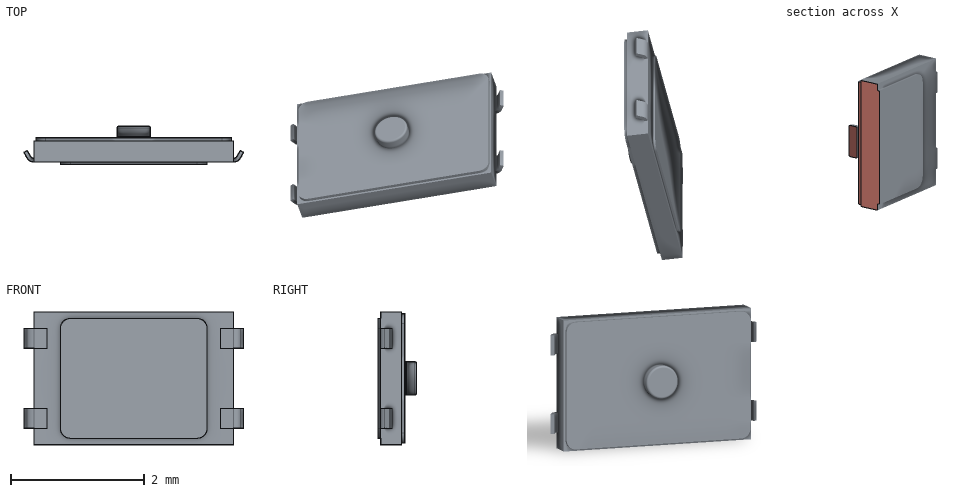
import cadquery as cq
import math


housing_width = 3.0
housing_height = 2.0
housing_depth = 0.317
pad_width = 2.2
pad_height = 1.8
pad_thickness = 0.04
corner_radius = 0.15

cover_inset = 0.03
cover_thickness = 0.05

total_depth = 0.58
button_diameter = 0.5
button_gap = 0.015
button_rim_radius = 0.03

total_width = 3.3
terminal_width = 0.3
terminal_pitch = 1.2
terminal_thickness = 0.06
terminal_inset = 0.2
bend_inner_radius = 0.055
bend_angle = math.radians(60)

solder_face = 0.0
cover_base = solder_face + housing_depth
cover_top = cover_base + cover_thickness
button_base = cover_top + button_gap
button_top = solder_face - pad_thickness + total_depth

SIDES = (-1, 1)


def slab(width, height, y_start, y_end):
    """Rectangular slab centred on the Y axis, between two Y positions."""
    centre = (0, (y_start + y_end) / 2, 0)
    return cq.Workplane("XY").box(width, y_end - y_start, height).translate(centre)


def rounded_slab(width, height, y_start, y_end):
    """Slab whose four corners are rounded about the Y axis."""
    return slab(width, height, y_start, y_end).edges("|Y").fillet(corner_radius)


def make_terminal(side, z_centre):
    """Strip running flat in the housing, then bent up beside it; side is -1 or 1 along X."""
    housing_side = housing_width / 2
    flat_end = housing_side - terminal_inset
    bend_outer_radius = bend_inner_radius + terminal_thickness
    bend_centre_y = solder_face + bend_outer_radius

    def bend_point(radius, angle):
        x = housing_side + radius * math.sin(angle)
        y = bend_centre_y - radius * math.cos(angle)
        return (x, y)

    outer_bend_end = bend_point(bend_outer_radius, bend_angle)
    inner_bend_end = bend_point(bend_inner_radius, bend_angle)

    leg_run = total_width / 2 - outer_bend_end[0]
    leg_rise = leg_run * math.tan(bend_angle)

    strip = (
        cq.Workplane("XY")
        .moveTo(flat_end, solder_face)
        .lineTo(housing_side, solder_face)
        .threePointArc(bend_point(bend_outer_radius, bend_angle / 2), outer_bend_end)
        .line(leg_run, leg_rise)
        .lineTo(inner_bend_end[0] + leg_run, inner_bend_end[1] + leg_rise)
        .lineTo(*inner_bend_end)
        .threePointArc(
            bend_point(bend_inner_radius, bend_angle / 2),
            bend_point(bend_inner_radius, 0),
        )
        .lineTo(flat_end, solder_face + terminal_thickness)
        .close()
        .extrude(terminal_width / 2, both=True)
    )
    if side < 0:
        strip = strip.mirror("YZ")
    return strip.translate((0, 0, z_centre))


def make_housing(terminals):
    """Block and standoff pad, with a matching recess for each terminal."""
    block = slab(housing_width, housing_height, solder_face, cover_base)
    pad = rounded_slab(pad_width, pad_height, solder_face - pad_thickness, solder_face)
    housing = block.union(pad)
    for terminal in terminals:
        housing = housing.cut(terminal)
    return housing


def make_cover():
    """Thin sheet with rounded corners on the button side of the housing."""
    cover_width = housing_width - 2 * cover_inset
    cover_height = housing_height - 2 * cover_inset
    return rounded_slab(cover_width, cover_height, cover_base, cover_top)


def make_button():
    """Round button with its outer rim rounded."""
    return (
        cq.Workplane("XZ", origin=(0, button_base, 0))
        .circle(button_diameter / 2)
        .extrude(button_base - button_top)
        .faces(">Y")
        .edges()
        .fillet(button_rim_radius)
    )


terminals = []
for side in SIDES:
    for level in SIDES:
        terminals.append(make_terminal(side, level * terminal_pitch / 2))

housing = make_housing(terminals)
cover = make_cover()
button = make_button()

result = cq.Compound.makeCompound(
    [housing.val(), cover.val(), button.val(), *[terminal.val() for terminal in terminals]]
)